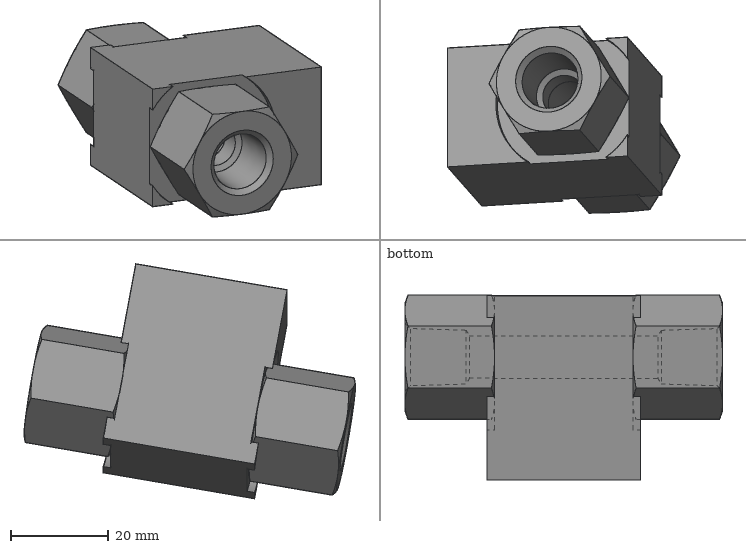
import cadquery as cq
import math

overall_length = 65.5
end_turns = (0, 180)

block_length = 31.7
block_width = 38.1
block_height = 25.4
axis_to_front = block_height / 2
pocket_diameter = 30.2
pocket_depth = 1.6

flow_diameter = 8.7

hex_flats = 22.2
hex_corners = hex_flats / math.cos(math.radians(30))
hex_chamfer_angle = 20.0
pocket_floor_x = block_length / 2 - pocket_depth
fitting_length = overall_length / 2 - pocket_floor_x

mouth_diameter = 14.0
taper_start_diameter = 11.8
taper_end_diameter = 11.1
taper_ratio = 16.0
drill_point_angle = 118.0
mouth_depth = (mouth_diameter - taper_start_diameter) / 2
taper_length = (taper_start_diameter - taper_end_diameter) * taper_ratio
drill_tip_length = (taper_end_diameter - flow_diameter) / 2 / math.tan(math.radians(drill_point_angle / 2))


def make_housing():
    """Block with a round pocket on both ends and the flow bore through it."""
    block = (
        cq.Workplane("XY")
        .box(block_length, block_width, block_height)
        .translate((0, block_width / 2 - axis_to_front, 0))
    )
    for turn in end_turns:
        block = block.cut(make_pocket().rotate((0, 0, 0), (0, 0, 1), turn))
    bore = cq.Workplane("YZ").circle(flow_diameter / 2).extrude(block_length / 2, both=True)
    return block.cut(bore)


def make_pocket():
    """Round cutter that sinks the seat of a fitting into the +X end of the block."""
    seat = cq.Workplane("YZ").workplane(offset=pocket_floor_x)
    return seat.circle(pocket_diameter / 2).extrude(pocket_depth)


def revolve_about_axis(profile_points):
    """Solid of revolution about X from (x, radius) points."""
    return cq.Workplane("XY").polyline(profile_points).close().revolve(360, (0, 0, 0), (1, 0, 0))


def make_chamfer_envelope():
    """Round bar with coned ends that trims the corners of the hexagon."""
    end_radius = hex_flats / 2
    corner_radius = hex_corners / 2
    cone_length = (corner_radius - end_radius) * math.tan(math.radians(hex_chamfer_angle))
    return revolve_about_axis([
        (0, 0),
        (0, end_radius),
        (cone_length, corner_radius),
        (fitting_length - cone_length, corner_radius),
        (fitting_length, end_radius),
        (fitting_length, 0),
    ])


def make_port():
    """Cutter for the bevelled mouth, the taper, the drill tip and the flow bore."""
    taper_start_x = fitting_length - mouth_depth
    taper_end_x = taper_start_x - taper_length
    return revolve_about_axis([
        (0, 0),
        (0, flow_diameter / 2),
        (taper_end_x - drill_tip_length, flow_diameter / 2),
        (taper_end_x, taper_end_diameter / 2),
        (taper_start_x, taper_start_diameter / 2),
        (fitting_length, mouth_diameter / 2),
        (fitting_length, 0),
    ])


def make_fitting():
    """Hexagonal fitting pointing along +X, seated on the +X pocket floor."""
    hexagon = cq.Workplane("YZ").polygon(6, hex_corners).extrude(fitting_length)
    body = hexagon.intersect(make_chamfer_envelope()).cut(make_port())
    return body.translate((pocket_floor_x, 0, 0))


housing = make_housing()
fittings = [make_fitting().rotate((0, 0, 0), (0, 0, 1), turn) for turn in end_turns]

result = cq.Compound.makeCompound([housing.val(), *[fitting.val() for fitting in fittings]])